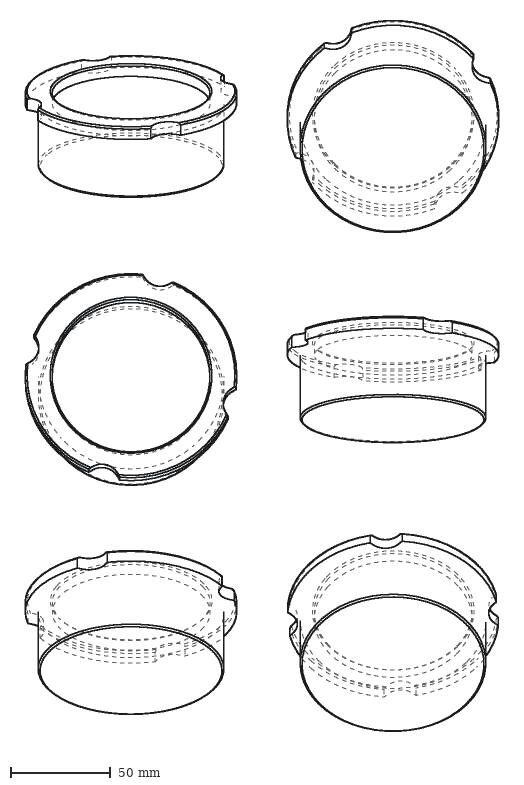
import cadquery as cq

flange_diameter = 106.0
total_height = 40.0
flange_thickness = 6.5
body_diameter = 93.1
edge_break = 1.0

recess_diameter = 79.1
recess_depth = 6.5

notch_wall_offset = 31.4
notch_corner_radius = 9.0

flange_radius = flange_diameter / 2
body_height = total_height - flange_thickness


def make_body():
    return (
        cq.Workplane("XY")
        .circle(body_diameter / 2)
        .extrude(total_height)
        .faces("<Z")
        .edges()
        .chamfer(edge_break)
    )


def make_flange():
    return (
        cq.Workplane("XY")
        .workplane(offset=body_height)
        .circle(flange_radius)
        .extrude(flange_thickness)
        .faces(">Z")
        .edges()
        .chamfer(edge_break)
    )


def make_notch(x_side, y_side):
    """Square-cornered cutter with its inner vertical edge rounded."""
    centre = notch_wall_offset + flange_radius / 2
    inner_edge = "<(1, 1, 0)"
    cutter = (
        cq.Workplane("XY")
        .workplane(offset=body_height)
        .center(centre, centre)
        .rect(flange_radius, flange_radius)
        .extrude(flange_thickness)
        .edges("|Z")
        .edges(inner_edge)
        .fillet(notch_corner_radius)
    )
    if x_side < 0:
        cutter = cutter.mirror("YZ")
    if y_side < 0:
        cutter = cutter.mirror("XZ")
    return cutter


def make_recess():
    """Recess cutter, flared at the mouth to form the rim chamfer."""
    recess_radius = recess_diameter / 2
    floor_height = total_height - recess_depth
    return (
        cq.Workplane("XZ")
        .moveTo(0, floor_height)
        .lineTo(recess_radius, floor_height)
        .lineTo(recess_radius, total_height - edge_break)
        .lineTo(recess_radius + edge_break, total_height)
        .lineTo(0, total_height)
        .close()
        .revolve()
    )


def make_root_fillet():
    """Ring that blends the body wall into the underside of the flange."""
    body_radius = body_diameter / 2
    ring = (
        cq.Workplane("XY")
        .workplane(offset=body_height - edge_break)
        .circle(body_radius + edge_break)
        .circle(body_radius)
        .extrude(edge_break)
    )
    hollow = cq.Workplane("XY").add(
        cq.Solid.makeTorus(
            body_radius + edge_break, edge_break, cq.Vector(0, 0, body_height - edge_break)
        )
    )
    return ring.cut(hollow)


result = make_body().union(make_flange()).union(make_root_fillet())
for x_side in (-1, 1):
    for y_side in (-1, 1):
        result = result.cut(make_notch(x_side, y_side))
result = result.cut(make_recess())